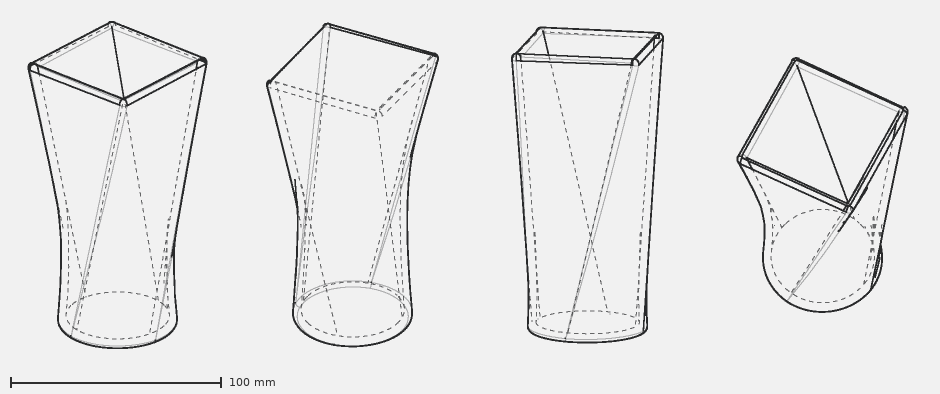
import cadquery as cq
import math

height = 139.65
top_side = 62.23
base_diameter = 57.0
wall = 4.0
floor_thickness = 4.0
seam_twist = 56.5
edge_radius = 2.5
mouth_radius = 2.5
foot_radius = 2.0

QUARTER = 90.0
CORNER_ANGLES = [QUARTER / 2 + QUARTER * i for i in range(4)]


def polar_point(radius, angle, z):
    """Point on a horizontal circle about the Z axis."""
    a = math.radians(angle)
    return cq.Vector(radius * math.cos(a), radius * math.sin(a), z)


def circle_to_square_body(diameter, side, z_bottom, z_top):
    """Solid with four ruled walls, each joining a quarter circle to a square side."""
    bottom_radius = diameter / 2
    corner_distance = side / math.sqrt(2)
    arcs = []
    sides = []
    for angle in CORNER_ANGLES:
        foot_angle = angle - seam_twist
        arcs.append(cq.Edge.makeThreePointArc(
            polar_point(bottom_radius, foot_angle, z_bottom),
            polar_point(bottom_radius, foot_angle + QUARTER / 2, z_bottom),
            polar_point(bottom_radius, foot_angle + QUARTER, z_bottom),
        ))
        sides.append(cq.Edge.makeLine(
            polar_point(corner_distance, angle, z_top),
            polar_point(corner_distance, angle + QUARTER, z_top),
        ))
    walls = [cq.Face.makeRuledSurface(arc, line) for arc, line in zip(arcs, sides)]
    bottom = cq.Face.makeFromWires(cq.Wire.assembleEdges(arcs))
    top = cq.Face.makeFromWires(cq.Wire.assembleEdges(sides))
    return cq.Workplane(cq.Solid.makeSolid(cq.Shell.makeShell(walls + [bottom, top])))


def rounded_outer_body():
    """Solid outer shape with its rim, seams and foot rounded."""
    body = circle_to_square_body(base_diameter, top_side, 0, height)
    body = body.edges("not(<Z)").fillet(edge_radius)
    return body.faces("<Z").edges().fillet(foot_radius)


def cavity_block():
    """Oversized block with the cavity sunk into it and the cavity's mouth rounded."""
    mouth_side = top_side - 2 * wall
    block_side = 2 * top_side
    cavity = circle_to_square_body(base_diameter - 2 * wall, mouth_side, floor_thickness, height)
    block = cq.Workplane().box(block_side, block_side, height, centered=(True, True, False)).cut(cavity)
    mouth_zone = cq.selectors.BoxSelector(
        (-mouth_side, -mouth_side, height - wall),
        (mouth_side, mouth_side, height + wall),
    )
    return block.faces(">Z").edges(mouth_zone).fillet(mouth_radius)


result = rounded_outer_body().intersect(cavity_block())